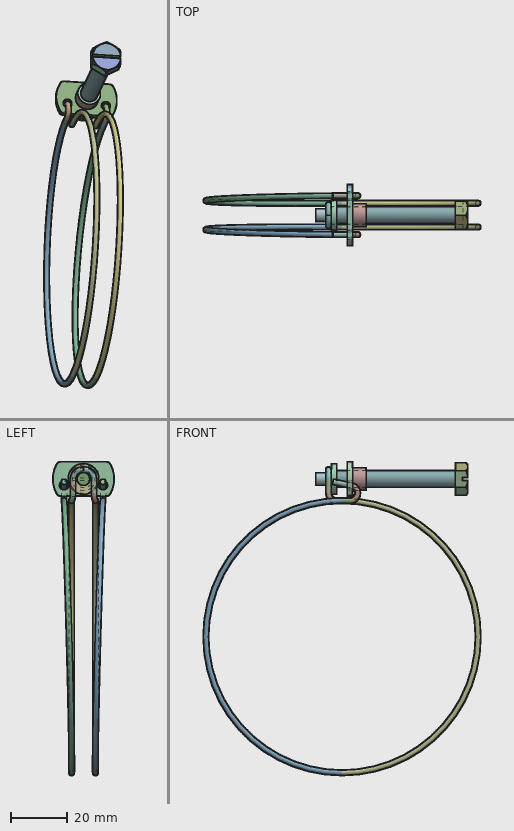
import cadquery as cq
import math


wire_diameter = 2.0
ring_outer_diameter = 99.0
ring_radius = (ring_outer_diameter - wire_diameter) / 2
strand_y = 4.3
hook_y = 6.9
bend_radius = 2.8
saddle_leg_y = 3.7
hook_radius = 2.7
hook_centre_x = 2.9
hook_end_x = -3.2
hook_end_drop = 1.0
drift_side_y = 5.1

plate_width = 21.9
plate_height = 12.3
plate_thickness = 2.0
plate_x = 1.8
plate_top_z = 111.8 - ring_outer_diameter / 2
plate_corner_radius = 1.7
collar_diameter = 8.2
collar_length = 4.8
wire_hole_diameter = 3.1

axis_z = plate_top_z - plate_height / 2
tip_diameter = 4.6
tip_start_x = -9.4
shank_diameter = 6.0
flange_diameter = 11.0
flange_thickness = 2.0
flange_x = -3.8
head_x = 40.4
head_length = 4.5
head_across_flats = 10.1
head_across_corners = head_across_flats * 2 / math.sqrt(3)
head_chamfer_length = 0.7
slot_width = 1.0
slot_depth = 1.9

saddle_x = flange_x - wire_diameter / 2
saddle_radius = (tip_diameter + wire_diameter) / 2

hook_centre_z = ring_radius + hook_radius
hook_end_z = axis_z - hook_end_drop
hook_run = hook_centre_x - hook_end_x
hook_fall = hook_end_z - hook_centre_z
hook_slope = math.atan2(hook_fall, hook_run) - math.asin(hook_radius / math.hypot(hook_run, hook_fall))
hook_tangent_x = hook_centre_x + hook_radius * math.sin(hook_slope)
hook_tangent_z = hook_centre_z + hook_radius * math.cos(hook_slope)
plate_middle_x = plate_x + plate_thickness / 2
wire_hole_z = hook_end_z - (plate_middle_x - hook_end_x) * math.tan(hook_slope)


def cylinder(diameter, start_x, end_x):
    """Solid cylinder on the screw axis."""
    return (
        cq.Workplane("YZ", origin=(start_x, 0, axis_z))
        .circle(diameter / 2)
        .extrude(end_x - start_x)
    )


def line(start, end):
    return cq.Edge.makeLine(cq.Vector(*start), cq.Vector(*end))


def arc(start, middle, end):
    return cq.Edge.makeThreePointArc(cq.Vector(*start), cq.Vector(*middle), cq.Vector(*end))


def curve(points, start_direction, end_direction):
    tangents = [cq.Vector(*start_direction), cq.Vector(*end_direction)]
    return cq.Edge.makeSpline([cq.Vector(*point) for point in points], tangents=tangents)


def hook_edges():
    """Free end, sloping through the plate and curling back under it to the top of the ring."""
    free_end = (hook_end_x, hook_y, hook_end_z)
    tangent_point = (hook_tangent_x, hook_y, hook_tangent_z)
    outermost = (hook_centre_x + hook_radius, hook_y, hook_centre_z)
    bottom = (hook_centre_x, hook_y, ring_radius)
    return [
        line(free_end, tangent_point),
        arc(tangent_point, outermost, bottom),
        line(bottom, (0, hook_y, ring_radius)),
    ]


def ring_edges():
    """One full turn: the -X half drifts from the outer to the inner strand, the +X half is flat."""
    top_outer = (0, hook_y, ring_radius)
    bottom = (0, strand_y, -ring_radius)
    top_inner = (0, strand_y, ring_radius)
    return [
        arc(top_outer, (-ring_radius, drift_side_y, 0), bottom),
        arc(bottom, (ring_radius, strand_y, 0), top_inner),
    ]


def saddle_edges():
    """From the top of the ring, up beside the screw tip and over it to the middle plane."""
    ring_top = (0, strand_y, ring_radius)
    bend_start = (saddle_x + bend_radius, strand_y, ring_radius)
    bend_diagonal = bend_radius * (1 - math.sqrt(0.5))
    bend_middle = (
        saddle_x + bend_diagonal,
        (strand_y + saddle_leg_y) / 2,
        ring_radius + bend_diagonal,
    )
    leg_bottom = (saddle_x, saddle_leg_y, ring_radius + bend_radius)
    leg_top = (saddle_x, saddle_leg_y, axis_z)
    crown_y = saddle_leg_y - saddle_radius
    shoulder = (
        saddle_x,
        crown_y + saddle_radius * math.sqrt(0.5),
        axis_z + saddle_radius * math.sqrt(0.5),
    )
    crown = (saddle_x, crown_y, axis_z + saddle_radius)
    return [
        line(ring_top, bend_start),
        curve([bend_start, bend_middle, leg_bottom], (-1, 0, 0), (0, 0, 1)),
        line(leg_bottom, leg_top),
        arc(leg_top, shoulder, crown),
        line(crown, (saddle_x, 0, axis_z + saddle_radius)),
    ]


def make_wire():
    path = cq.Wire.assembleEdges(hook_edges() + ring_edges() + saddle_edges())
    end_plane = cq.Plane(
        origin=(hook_end_x, hook_y, hook_end_z),
        xDir=(0, 1, 0),
        normal=(math.cos(hook_slope), 0, -math.sin(hook_slope)),
    )
    half = cq.Workplane(end_plane).circle(wire_diameter / 2).sweep(cq.Workplane(path), transition="transformed")
    return half.union(half.mirror("XZ")).solids()


def make_plate():
    """Plate with rounded ends, a nut collar, a bore for the screw and two holes for the hooks."""
    plate = cylinder(plate_width, plate_x, plate_x + plate_thickness)
    band = cq.Workplane("XY", origin=(plate_middle_x, 0, axis_z)).box(
        plate_thickness, plate_width, plate_height
    )
    plate = plate.intersect(band).edges("|X").fillet(plate_corner_radius)
    collar_end_x = plate_x + plate_thickness + collar_length
    plate = plate.union(cylinder(collar_diameter, plate_x, collar_end_x))
    plate = plate.cut(cylinder(shank_diameter, plate_x, collar_end_x))
    holes = (
        cq.Workplane("YZ", origin=(plate_x, 0, wire_hole_z))
        .pushPoints([(-hook_y, 0), (hook_y, 0)])
        .circle(wire_hole_diameter / 2)
        .extrude(plate_thickness)
    )
    return plate.cut(holes).solids()


def make_screw_head():
    """Slotted hexagon head, corners up and down, chamfered at its outer end."""
    head = (
        cq.Workplane("YZ", origin=(head_x, 0, axis_z))
        .transformed(rotate=(0, 0, 90))
        .polygon(6, head_across_corners)
        .extrude(head_length)
    )
    chamfer_depth = (head_across_corners - head_across_flats) / 2
    envelope = (
        cylinder(head_across_corners, head_x, head_x + head_length)
        .faces(">X")
        .chamfer(head_chamfer_length, chamfer_depth)
    )
    slot = cq.Workplane("XY", origin=(head_x + head_length - slot_depth / 2, 0, axis_z)).box(
        slot_depth, head_across_corners, slot_width
    )
    return head.intersect(envelope).cut(slot)


def make_screw():
    flange_end_x = flange_x + flange_thickness
    tip = cylinder(tip_diameter, tip_start_x, flange_x)
    flange = cylinder(flange_diameter, flange_x, flange_end_x)
    shank = cylinder(shank_diameter, flange_end_x, head_x)
    return tip.union(flange).union(shank).union(make_screw_head()).solids()


wire = make_wire()
plate = make_plate()
screw = make_screw()

result = cq.Compound.makeCompound([wire.val(), plate.val(), screw.val()])